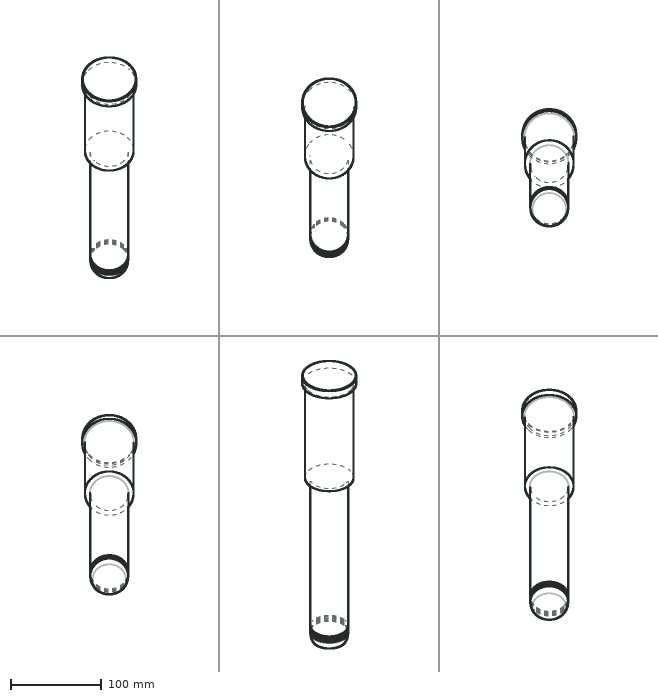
import cadquery as cq
import math

total_length = 351.0
head_diameter = 60.0
head_height = 10.2
collar_diameter = 54.0
collar_bottom_depth = 136.0
shaft_diameter = 42.0

head_chamfer = 0.7
shoulder_fillet = 0.7
tip_fillet = 0.7

nose_height = 8.5
nose_tip_inset = 2.5

groove_count = 3
groove_width = 1.5
groove_depth = 0.5
groove_pitch = 3.0

head_radius = head_diameter / 2
collar_radius = collar_diameter / 2
shaft_radius = shaft_diameter / 2
tip_radius = shaft_radius - nose_tip_inset
head_bottom = total_length - head_height
collar_bottom = total_length - collar_bottom_depth

nose_arc_radius = (nose_height**2 + nose_tip_inset**2) / (2 * nose_tip_inset)
half_sweep = math.asin(nose_height / nose_arc_radius) / 2
nose_arc_middle = (
    shaft_radius - nose_arc_radius * (1 - math.cos(half_sweep)),
    nose_height - nose_arc_radius * math.sin(half_sweep),
)


def make_body():
    """Revolve the stepped pin; the nose arc is tangent to the shaft."""
    return (
        cq.Workplane("XZ")
        .lineTo(tip_radius, 0)
        .threePointArc(nose_arc_middle, (shaft_radius, nose_height))
        .lineTo(shaft_radius, collar_bottom)
        .lineTo(collar_radius, collar_bottom)
        .lineTo(collar_radius, head_bottom)
        .lineTo(head_radius, head_bottom)
        .lineTo(head_radius, total_length)
        .lineTo(0, total_length)
        .close()
        .revolve(360, (0, 0, 0), (0, 1, 0))
    )


def make_groove_ring(bottom):
    """Ring of material removed by one groove."""
    return (
        cq.Workplane("XY", origin=(0, 0, bottom))
        .circle(head_radius)
        .circle(shaft_radius - groove_depth)
        .extrude(groove_width)
    )


def circle_at(radius, height):
    """Select the circular edge of a given radius lying at a given height."""
    margin = 0.05
    reach = radius + margin
    return cq.selectors.BoxSelector(
        (-reach, -reach, height - margin),
        (reach, reach, height + margin),
        boundingbox=True,
    )


result = make_body()
result = result.edges(circle_at(head_radius, total_length)).chamfer(head_chamfer)
result = result.edges(circle_at(collar_radius, head_bottom)).fillet(shoulder_fillet)
result = result.edges(circle_at(shaft_radius, collar_bottom)).fillet(shoulder_fillet)
result = result.edges(circle_at(tip_radius, 0)).fillet(tip_fillet)
for index in range(groove_count):
    groove_bottom = nose_height + (index + 1) * groove_pitch - groove_width
    result = result.cut(make_groove_ring(groove_bottom))